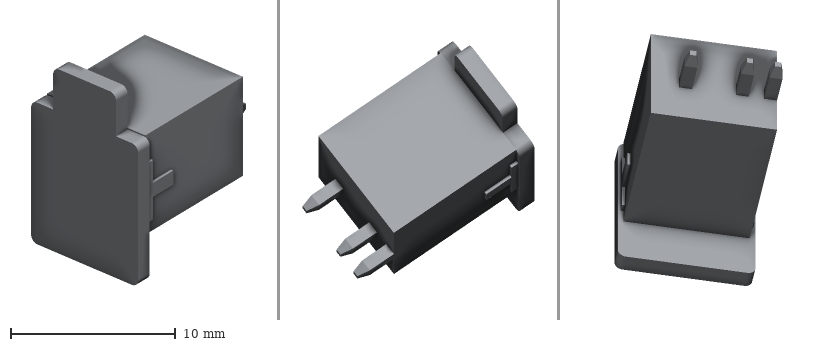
import cadquery as cq


cover_width = 8.5
cover_thickness = 1.1
cover_height = 13.0
tab_width = 5.0
tab_height = 3.0
corner_radius = 0.5

housing_width = 7.8
housing_length = 9.2
housing_height = 7.0
housing_bottom = 3.1
housing_front = cover_thickness
housing_back = housing_front + housing_length

rib_thickness = 0.2
rib_bar_height = 4.2
rib_bar_length = 0.5
rib_stem_height = 1.0
rib_length = 2.4
rib_axis_height = 6.12
rib_end = housing_front + rib_length

pin_size = 0.8
pin_protrusion = 2.6
tip_length = 0.8
tip_size = 0.4
pin_axis_height = 6.1
pin_start = rib_end
pin_end = housing_back + pin_protrusion
pin_pitch = 1.75
pin_positions = (-2 * pin_pitch, -pin_pitch, pin_pitch)


def block_along_y(width, height, start, end, x_center, z_center):
    """Rectangular bar running along Y from start to end."""
    length = end - start
    return cq.Workplane("XY").box(width, length, height).translate(
        (x_center, start + length / 2, z_center)
    )


def make_cover():
    body_height = cover_height - tab_height
    body = block_along_y(cover_width, body_height, 0, cover_thickness, 0, body_height / 2)
    body = body.edges("|Y").fillet(corner_radius)
    tab = block_along_y(tab_width, 2 * tab_height, 0, cover_thickness, 0, body_height)
    tab = tab.edges("|Y and >Z").fillet(corner_radius)
    return body.union(tab)


def make_rib(side):
    """T-shaped rib: cross bar against the cover, stem pointing to the back."""
    x_center = side * (housing_width + rib_thickness) / 2
    bar_end = housing_front + rib_bar_length
    bar = block_along_y(rib_thickness, rib_bar_height, housing_front, bar_end, x_center, rib_axis_height)
    stem = block_along_y(rib_thickness, rib_stem_height, housing_front, rib_end, x_center, rib_axis_height)
    return bar.union(stem)


def make_pin(x_center):
    tip_start = pin_end - tip_length
    shaft = block_along_y(pin_size, pin_size, pin_start, tip_start, x_center, pin_axis_height)
    tip = (
        shaft.faces(">Y")
        .workplane(centerOption="CenterOfMass")
        .rect(pin_size, pin_size)
        .workplane(offset=tip_length)
        .rect(tip_size, tip_size)
        .loft(combine=False)
    )
    return shaft.union(tip)


def make_housing():
    z_center = housing_bottom + housing_height / 2
    housing = block_along_y(housing_width, housing_height, housing_front, housing_back, 0, z_center)
    for side in (-1, 1):
        housing = housing.union(make_rib(side))
    for x_center in pin_positions:
        seat = block_along_y(pin_size, pin_size, pin_start, housing_back, x_center, pin_axis_height)
        housing = housing.cut(seat)
    return housing


cover = make_cover()
housing = make_housing()
pins = [make_pin(x_center) for x_center in pin_positions]

result = cq.Compound.makeCompound([cover.val(), housing.val(), *[pin.val() for pin in pins]])